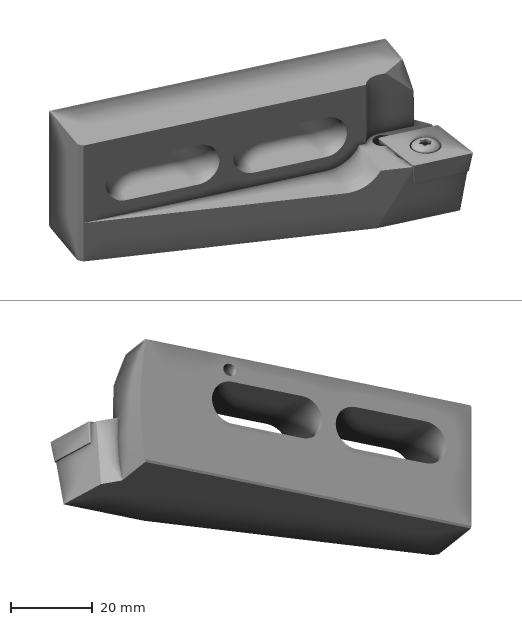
import cadquery as cq
import math

SHANK_WIDTH = 19.0
SHANK_HEIGHT = 33.0
SHANK_LENGTH = 91.0
END_BOW = 1.5
EDGE_CHAMFER_X = 0.3
EDGE_CHAMFER_Z = 0.6
TAIL_CHAMFER = 1.2

SLOT_LENGTH = 30.3
SLOT_HEIGHT = 11.2
SLOT_Z = 20.5
SLOT_CENTRES_Y = (22.2, 56.1)
BORE_DIAMETER = 3.25
BORE_DEPTH = 6.1
BORE_TILT = 20
BORE_TIP_ANGLE = 118
BORE_Y = 66.5
BORE_Z = 29.2

INSERT_WIDTH = 15.9
INSERT_THICKNESS = 5.3
INSERT_SLANT = 10
RELIEF_ANGLE = 7
NOSE_RADIUS = 0.4
INSERT_TOP_Z = 16.8
NOSE_X = 34.4
NOSE_Y = 98.5

PLATFORM_Z = 16.3
RIB_Z = 10.9
SCOOP_FRONT_Y = 74.6
SCOOP_RADIUS = 9.85
TAPER_ANGLE = 10.4
SIDE_INSET = 0.3
FRONT_INSET = 0.6
FLANK_ANGLE = 6
FLANK_CORNER_X = 16.45
FLANK_BACK_X = 4.9
FLANK_BACK_ANGLE = 40
SEAT_CLEARANCE_RADIUS = 8.2
CORNER_RELIEF_RADIUS = 2.8
CORNER_RELIEF_X = 19.3
CORNER_RELIEF_Y = 81.0

WALL_X = 15.8
WALL_ARC_RADIUS = 5.2
WALL_ARC_Y = 81.3
WALL_CORNER_RADIUS = 1.2
FACET_FRONT_X = 10.9
FACET_REAR_Y = 82.9
FACET_SLOPE = 57

SCREW_RADIUS = 2.8
SCREW_BOTTOM_Z = 4.9
HEAD_CONE_Z = 13.3
HEAD_RADIUS = 3.5
SINK_RADIUS = 3.9
DOME_Z = 16.8
SCREW_TOP_Z = 17.7
SCREW_TOP_RADIUS = 2.0
SOCKET_CORE_RADIUS = 1.3
SOCKET_LOBE_RADIUS = 0.4
SOCKET_LOBES = 6
SOCKET_DEPTH = 2.0
DOME_BULGE = 0.2

MARGIN = 4.9
slant = math.radians(INSERT_SLANT)
taper = math.tan(math.radians(TAPER_ANGLE))
insert_radius = INSERT_WIDTH / 2
seat_z = INSERT_TOP_Z - INSERT_THICKNESS
end_edge_y = SHANK_LENGTH - END_BOW
reach_y = NOSE_Y + MARGIN
reach_x = NOSE_X + MARGIN


def corner_height(half_width):
    """Y of the leading insert corner above the insert centre, for a given inscribed radius."""
    return half_width * (1 + math.sin(slant)) / math.cos(slant)


insert_x = NOSE_X - insert_radius
insert_y = NOSE_Y - NOSE_RADIUS - corner_height(insert_radius - NOSE_RADIUS)
sink_slope = (SINK_RADIUS - SCREW_RADIUS) / (INSERT_TOP_Z - HEAD_CONE_Z)
head_rim_z = HEAD_CONE_Z + (HEAD_RADIUS - SCREW_RADIUS) / sink_slope


def prism(outline, bottom, top):
    """Upright prism over a closed XY outline."""
    return cq.Workplane("XY").workplane(offset=bottom).polyline(outline).close().extrude(top - bottom)


def cylinder(x, y, radius, bottom, top):
    """Upright cylinder."""
    return cq.Workplane("XY", origin=(x, y, bottom)).circle(radius).extrude(top - bottom)


def make_shank():
    profile = (
        cq.Workplane("YZ")
        .lineTo(end_edge_y, 0)
        .threePointArc((SHANK_LENGTH, SHANK_HEIGHT / 2), (end_edge_y, SHANK_HEIGHT))
        .lineTo(0, SHANK_HEIGHT)
        .close()
        .extrude(SHANK_WIDTH)
    )
    section = (
        cq.Workplane("XZ")
        .polyline([
            (EDGE_CHAMFER_X, 0),
            (SHANK_WIDTH, 0),
            (SHANK_WIDTH, SHANK_HEIGHT),
            (EDGE_CHAMFER_X, SHANK_HEIGHT),
            (0, SHANK_HEIGHT - EDGE_CHAMFER_Z),
            (0, EDGE_CHAMFER_Z),
        ])
        .close()
        .extrude(-SHANK_LENGTH)
    )
    shank = profile.intersect(section)
    return shank.edges("|Z").edges("<Y").edges(">X").chamfer(TAIL_CHAMFER)


def make_head():
    """Tapering rib with the scoop and the raised platform, trimmed by the relieved flanks."""
    run = math.sqrt(SCOOP_RADIUS**2 - (SCOOP_RADIUS - PLATFORM_Z + RIB_Z) ** 2)
    scoop_rear_y = SCOOP_FRONT_Y - run
    mid_angle = math.asin(run / SCOOP_RADIUS) / 2
    scoop_mid = (
        scoop_rear_y + SCOOP_RADIUS * math.sin(mid_angle),
        RIB_Z + SCOOP_RADIUS * (1 - math.cos(mid_angle)),
    )
    profile = (
        cq.Workplane("YZ")
        .lineTo(reach_y, 0)
        .lineTo(reach_y, PLATFORM_Z)
        .lineTo(SCOOP_FRONT_Y, PLATFORM_Z)
        .threePointArc(scoop_mid, (scoop_rear_y, RIB_Z))
        .lineTo(0, RIB_Z)
        .close()
        .extrude(reach_x)
    )
    rib_plan = prism(
        [
            (FLANK_BACK_X, TAIL_CHAMFER),
            (SHANK_WIDTH, TAIL_CHAMFER),
            (SHANK_WIDTH + (reach_y - TAIL_CHAMFER) * taper, reach_y),
            (FLANK_BACK_X, reach_y),
        ],
        0,
        PLATFORM_Z,
    )
    return profile.intersect(rib_plan).intersect(make_flanks())


def make_flanks():
    """Block whose front, side and slanting flank lean in towards the bottom."""
    side_x = NOSE_X - SIDE_INSET
    insert_corner_y = insert_y + corner_height(insert_radius)
    front_slope = math.tan(slant)
    tip_y = insert_corner_y - SIDE_INSET * front_slope - FRONT_INSET / math.cos(slant)
    corner_y = tip_y - (side_x - FLANK_CORNER_X) * front_slope
    back_y = corner_y - (FLANK_CORNER_X - FLANK_BACK_X) * math.tan(math.radians(FLANK_BACK_ANGLE))
    outline = [
        (side_x, -MARGIN),
        (side_x, tip_y),
        (FLANK_CORNER_X, corner_y),
        (FLANK_BACK_X, back_y),
        (FLANK_BACK_X, -MARGIN),
    ]
    top = cq.Workplane("XY").workplane(offset=INSERT_TOP_Z).polyline(outline).close()
    return top.extrude(-INSERT_TOP_Z, taper=FLANK_ANGLE)


def make_wall_clearance():
    """Space above the platform where the shank stands back from the insert."""
    arc_x = WALL_X + WALL_ARC_RADIUS
    arc_end_x = SHANK_WIDTH
    arc_end_y = WALL_ARC_Y - math.sqrt(WALL_ARC_RADIUS**2 - (arc_x - arc_end_x) ** 2)
    half_sweep = math.acos((arc_x - arc_end_x) / WALL_ARC_RADIUS) / 2
    arc_mid = (
        arc_x - WALL_ARC_RADIUS * math.cos(half_sweep),
        WALL_ARC_Y - WALL_ARC_RADIUS * math.sin(half_sweep),
    )
    corner_x = WALL_X - WALL_CORNER_RADIUS
    corner_y = SHANK_LENGTH - WALL_CORNER_RADIUS
    diagonal = WALL_CORNER_RADIUS * math.sqrt(0.5)
    return (
        cq.Workplane("XY")
        .workplane(offset=PLATFORM_Z)
        .moveTo(corner_x, SHANK_LENGTH)
        .threePointArc((corner_x + diagonal, corner_y + diagonal), (WALL_X, corner_y))
        .lineTo(WALL_X, WALL_ARC_Y)
        .threePointArc(arc_mid, (arc_end_x, arc_end_y))
        .lineTo(reach_x, arc_end_y)
        .lineTo(reach_x, reach_y)
        .lineTo(corner_x, reach_y)
        .close()
        .extrude(SHANK_HEIGHT)
    )


def make_facet_cutter():
    """Wedge that slopes off the top front corner of the shank beside the clearance wall."""
    along = cq.Vector(WALL_X - FACET_FRONT_X, FACET_REAR_Y - end_edge_y, 0)
    outward = cq.Vector(-along.y, along.x, 0)
    plane = cq.Plane(
        origin=(FACET_FRONT_X, end_edge_y, SHANK_HEIGHT),
        xDir=outward.toTuple(),
        normal=along.toTuple(),
    )
    width = 2 * MARGIN
    drop = width * math.tan(math.radians(FACET_SLOPE))
    return (
        cq.Workplane(plane)
        .workplane(offset=-MARGIN)
        .polyline([(0, 0), (width, 0), (width, -drop)])
        .close()
        .extrude(along.Length + 2 * MARGIN)
    )


def make_slots():
    return (
        cq.Workplane("YZ")
        .pushPoints([(y, SLOT_Z) for y in SLOT_CENTRES_Y])
        .slot2D(SLOT_LENGTH, SLOT_HEIGHT)
        .extrude(SHANK_WIDTH)
    )


def make_bore():
    """Blind drilled bore with a conical tip, leaning towards the head."""
    radius = BORE_DIAMETER / 2
    tip = radius / math.tan(math.radians(BORE_TIP_ANGLE / 2))
    return (
        cq.Workplane("XY")
        .polyline([(-MARGIN, 0), (-MARGIN, radius), (BORE_DEPTH, radius), (BORE_DEPTH + tip, 0)])
        .close()
        .revolve(360, (0, 0), (1, 0))
        .rotate((0, 0, 0), (0, 0, 1), BORE_TILT)
        .translate((0, BORE_Y, BORE_Z))
    )


def make_insert_blank():
    """Rhombic insert without its hole, narrowing downwards by the relief angle."""
    corner = corner_height(insert_radius)
    far_corner = corner - 2 * insert_radius * math.tan(slant)
    outline = [
        (insert_radius, corner),
        (-insert_radius, far_corner),
        (-insert_radius, -corner),
        (insert_radius, -far_corner),
    ]
    full = (
        cq.Workplane("XY", origin=(insert_x, insert_y, INSERT_TOP_Z))
        .polyline(outline)
        .close()
        .extrude(-INSERT_THICKNESS, taper=RELIEF_ANGLE)
    )
    corner_edges = full.edges().filter(lambda edge: edge.BoundingBox().zlen > INSERT_THICKNESS / 2)
    return corner_edges.fillet(NOSE_RADIUS)


def make_screw_envelope():
    """Screw shank and the conical hole that seats its head, up to the top of the insert."""
    return (
        cq.Workplane("XZ")
        .polyline([
            (0, SCREW_BOTTOM_Z),
            (SCREW_RADIUS, SCREW_BOTTOM_Z),
            (SCREW_RADIUS, HEAD_CONE_Z),
            (SINK_RADIUS, INSERT_TOP_Z),
            (0, INSERT_TOP_Z),
        ])
        .close()
        .revolve(360, (0, 0), (0, 1))
        .translate((insert_x, insert_y, 0))
    )


def make_socket():
    """Six-lobed drive socket."""
    bottom = SCREW_TOP_Z - SOCKET_DEPTH
    socket = cylinder(insert_x, insert_y, SOCKET_CORE_RADIUS, bottom, SCREW_TOP_Z)
    for lobe in range(SOCKET_LOBES):
        angle = math.pi / 2 + 2 * math.pi * lobe / SOCKET_LOBES
        x = insert_x + SOCKET_CORE_RADIUS * math.cos(angle)
        y = insert_y + SOCKET_CORE_RADIUS * math.sin(angle)
        socket = socket.union(cylinder(x, y, SOCKET_LOBE_RADIUS, bottom, SCREW_TOP_Z))
    return socket


def make_screw():
    dome_angle = math.atan2(SCREW_TOP_Z - DOME_Z, HEAD_RADIUS - SCREW_TOP_RADIUS)
    dome_mid = (
        (HEAD_RADIUS + SCREW_TOP_RADIUS) / 2 + DOME_BULGE * math.sin(dome_angle),
        (DOME_Z + SCREW_TOP_Z) / 2 + DOME_BULGE * math.cos(dome_angle),
    )
    body = (
        cq.Workplane("XZ")
        .moveTo(0, SCREW_BOTTOM_Z)
        .lineTo(SCREW_RADIUS, SCREW_BOTTOM_Z)
        .lineTo(SCREW_RADIUS, HEAD_CONE_Z)
        .lineTo(HEAD_RADIUS, head_rim_z)
        .lineTo(HEAD_RADIUS, DOME_Z)
        .threePointArc(dome_mid, (SCREW_TOP_RADIUS, SCREW_TOP_Z))
        .lineTo(0, SCREW_TOP_Z)
        .close()
        .revolve(360, (0, 0), (0, 1))
        .translate((insert_x, insert_y, 0))
    )
    return body.cut(make_socket())


def make_insert():
    return make_insert_blank().cut(make_screw_envelope())


def make_holder():
    """Shank and head in one piece, with the insert seat cut into the platform."""
    holder = make_shank().union(make_head())
    cutters = [
        make_wall_clearance(),
        make_facet_cutter(),
        make_slots(),
        make_bore(),
        make_insert_blank(),
        cylinder(insert_x, insert_y, SEAT_CLEARANCE_RADIUS, seat_z, INSERT_TOP_Z),
        cylinder(CORNER_RELIEF_X, CORNER_RELIEF_Y, CORNER_RELIEF_RADIUS, seat_z, INSERT_TOP_Z),
        make_screw_envelope(),
    ]
    for cutter in cutters:
        holder = holder.cut(cutter)
    return holder


holder = make_holder()
insert = make_insert()
screw = make_screw()

result = cq.Compound.makeCompound([holder.val(), insert.val(), screw.val()])